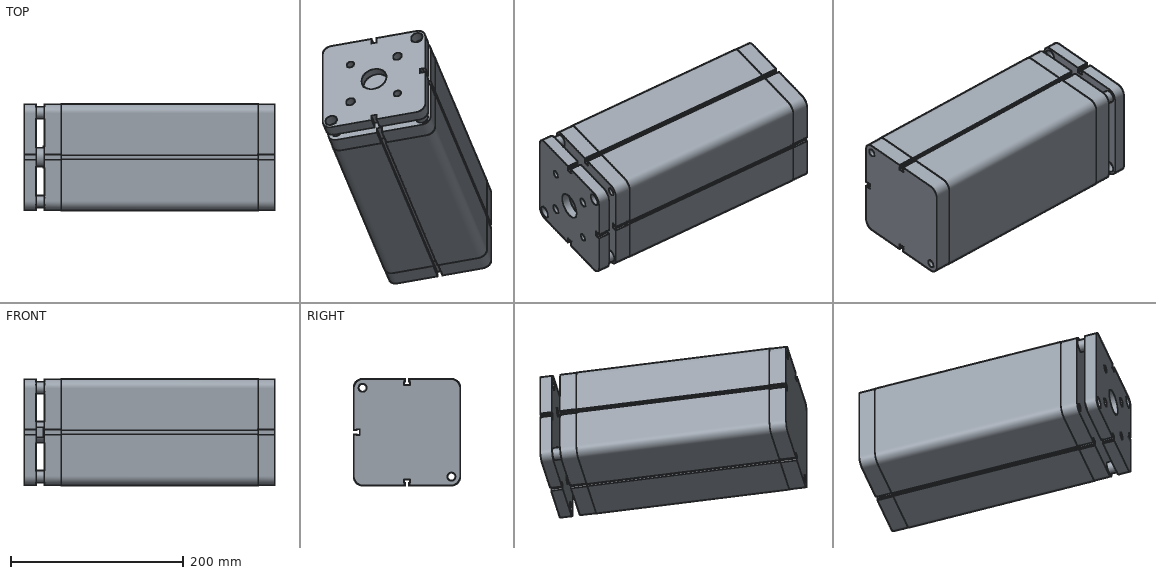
import cadquery as cq

overall_length = 291.0
plate_thickness = 14.0
plate_gap = 9.5
cap_length = 19.5
barrel_length = overall_length - plate_thickness - plate_gap - 2 * cap_length

cap_start = plate_thickness + plate_gap
barrel_start = cap_start + cap_length
rear_cap_start = barrel_start + barrel_length

barrel_width = 124.0
barrel_corner_radius = 10.8
inset = 0.3
end_width = barrel_width - 2 * inset
end_corner_radius = barrel_corner_radius - inset

slot_width = 6.5
slot_depth = 7.0
slot_mouth_depth = 3.5
barrel_mouth_width = 4.5
end_mouth_width = 5.8
slot_sides = (0, 90, 180)

corner_offset = 51.5
mounting_corners = [(-corner_offset, corner_offset), (corner_offset, -corner_offset)]
guide_corners = [(corner_offset, corner_offset), (-corner_offset, -corner_offset)]
mounting_hole_diameter = 9.0
access_hole_diameter = 13.7
guide_diameter = 14.3

center_recess_diameter = 30.0
center_recess_depth = 10.0
fixing_offset = 28.2
screw_hole_diameter = 8.7
dowel_hole_diameter = 10.5
screw_points = [(fixing_offset, fixing_offset), (-fixing_offset, -fixing_offset)]
dowel_points = [(-fixing_offset, fixing_offset), (fixing_offset, -fixing_offset)]

rod_diameter = 25.0
flat_width = 22.0
round_end_length = 1.2
flat_length = plate_gap - round_end_length


def cross_section(x):
    """Workplane across X: local x is +Y, local y is +Z, extrusions run toward +X."""
    return cq.Workplane("YZ", origin=(x, 0, 0))


def rounded_block(x, length, width, radius):
    block = cross_section(x).rect(width, width).extrude(length)
    return block.edges("|X").fillet(radius)


def cylinders(x, length, diameter, points):
    return cross_section(x).pushPoints(points).circle(diameter / 2).extrude(length)


def slot_layer(x, length, width, top_depth, bottom_depth):
    """Bar removed from the +Z side, between two depths below the barrel surface."""
    height = bottom_depth - top_depth
    middle = barrel_width / 2 - (top_depth + bottom_depth) / 2
    return cross_section(x).center(0, middle).rect(width, height).extrude(length)


def cut_slots(body, x, length, mouth_width):
    """Cut the same T-slot into each slotted side."""
    mouth = slot_layer(x, length, mouth_width, 0, slot_mouth_depth)
    base = slot_layer(x, length, slot_width, slot_mouth_depth, slot_depth)
    slot = mouth.union(base)
    for angle in slot_sides:
        body = body.cut(slot.rotate((0, 0, 0), (1, 0, 0), angle))
    return body


def make_end_block(x, length):
    """Rounded square block with T-slots, common to the yoke plate and the caps."""
    block = rounded_block(x, length, end_width, end_corner_radius)
    return cut_slots(block, x, length, end_mouth_width)


def make_cap(x):
    holes = cylinders(x, cap_length, mounting_hole_diameter, mounting_corners)
    return make_end_block(x, cap_length).cut(holes)


def make_barrel():
    barrel = rounded_block(barrel_start, barrel_length, barrel_width, barrel_corner_radius)
    barrel = cut_slots(barrel, barrel_start, barrel_length, barrel_mouth_width)
    return barrel.cut(cylinders(barrel_start, barrel_length, mounting_hole_diameter, mounting_corners))


def make_yoke_plate():
    """Plate with its two guide rods, which reach back to the front cap."""
    plate = make_end_block(0, plate_thickness)
    plate = plate.cut(cylinders(0, plate_thickness, access_hole_diameter, mounting_corners))
    plate = plate.cut(cylinders(0, plate_thickness, screw_hole_diameter, screw_points))
    plate = plate.cut(cylinders(0, plate_thickness, dowel_hole_diameter, dowel_points))
    plate = plate.cut(cylinders(0, center_recess_depth, center_recess_diameter, [(0, 0)]))
    return plate.union(cylinders(plate_thickness, plate_gap, guide_diameter, guide_corners))


def make_piston_rod():
    rod = cylinders(plate_thickness, plate_gap, rod_diameter, [(0, 0)])
    flats = cross_section(plate_thickness).rect(rod_diameter, rod_diameter).extrude(flat_length)
    flats = flats.cut(cross_section(plate_thickness).rect(flat_width, rod_diameter).extrude(flat_length))
    return rod.cut(flats)


yoke_plate = make_yoke_plate()
piston_rod = make_piston_rod()
barrel = make_barrel()
caps = [make_cap(x) for x in (cap_start, rear_cap_start)]

result = cq.Compound.makeCompound(
    [yoke_plate.val(), piston_rod.val(), barrel.val(), *[cap.val() for cap in caps]]
)